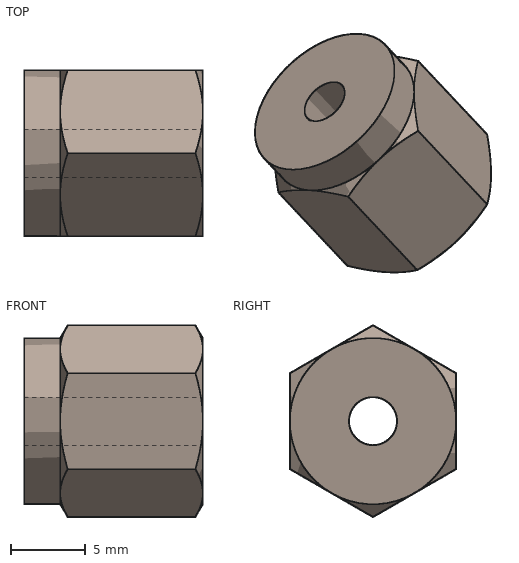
import cadquery as cq
import math

across_corners = 12.83
total_length = 11.95
collar_length = 2.41
bore_diameter = 3.2
chamfer_angle = 30.0

corner_radius = across_corners / 2
flat_radius = corner_radius * math.cos(math.radians(30))
hex_length = total_length - collar_length
chamfer_length = (corner_radius - flat_radius) * math.tan(math.radians(chamfer_angle))


def chamfered_hex():
    """Hexagon with corners on +Z and -Z, its ends trimmed by cones."""
    hexagon = (
        cq.Workplane("YZ", origin=(collar_length, 0, 0))
        .transformed(rotate=(0, 0, 90))
        .polygon(6, across_corners)
        .extrude(hex_length)
    )
    envelope = (
        cq.Workplane("XY")
        .moveTo(collar_length, 0)
        .lineTo(collar_length, flat_radius)
        .lineTo(collar_length + chamfer_length, corner_radius)
        .lineTo(total_length - chamfer_length, corner_radius)
        .lineTo(total_length, flat_radius)
        .lineTo(total_length, 0)
        .close()
        .revolve(360, (0, 0, 0), (1, 0, 0))
    )
    return hexagon.intersect(envelope)


collar = cq.Workplane("YZ").circle(flat_radius).extrude(collar_length)

bore = cq.Workplane("YZ").circle(bore_diameter / 2).extrude(total_length)

result = chamfered_hex().union(collar).cut(bore)